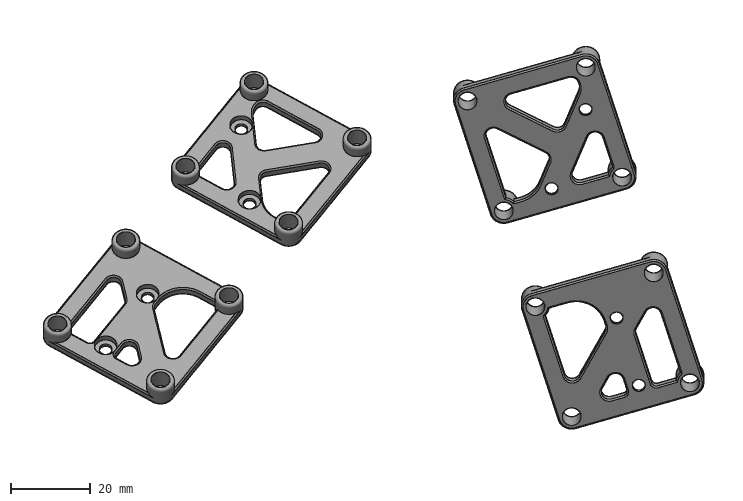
import cadquery as cq
import math

plate_size = 38.0
plate_height = 2.7
post_diameter = 7.0
post_bore = 4.7
post_height = 6.0
post_round = 0.75
edge_chamfer = 0.4
side_length = plate_size - post_diameter
post_offset = side_length / 2

overall_length = 96.0
plate_offset = (overall_length - plate_size) / 2

screw_hole = 3.2
screw_head = 5.7
screw_seat_height = 1.0

frame_width = 5.0
window_half = plate_size / 2 - frame_width
rib_half_width = 3.25
post_side_offset = 12.5

corner_radius = 2.0
tight_radius = 1.2
post_side_radius = 4.0
wide_radius = 7.3

slanted_screws = [(-12.1, 4.6), (2.3, -13.3)]
upright_screw_x = -3.05
upright_screws = [(upright_screw_x, -12.4), (upright_screw_x, 6.6)]


def line(direction, distance):
    """A straight wall: the angle of its normal in degrees, and its distance from the plate centre."""
    angle = math.radians(direction)
    return math.cos(angle), math.sin(angle), distance


def crossing(first, second):
    """The point where two straight walls meet."""
    a1, b1, d1 = first
    a2, b2, d2 = second
    determinant = a1 * b2 - a2 * b1
    return cq.Vector((d1 * b2 - d2 * b1) / determinant, (a1 * d2 - a2 * d1) / determinant)


def window(walls):
    """A through cutter; each wall is paired with the corner radius where it meets the next wall."""
    count = len(walls)
    corners = [crossing(walls[i][0], walls[(i + 1) % count][0]) for i in range(count)]
    arcs = []
    for i, corner in enumerate(corners):
        radius = walls[i][1]
        back = (corners[i - 1] - corner).normalized()
        ahead = (corners[(i + 1) % count] - corner).normalized()
        half_angle = back.getAngle(ahead) / 2
        setback = radius / math.tan(half_angle)
        depth = radius / math.sin(half_angle) - radius
        middle = corner + (back + ahead).normalized() * depth
        arcs.append((corner + back * setback, middle, corner + ahead * setback))

    outline = cq.Workplane("XY").moveTo(*arcs[-1][2].toTuple()[:2])
    for start, middle, end in arcs:
        outline = outline.lineTo(start.x, start.y)
        outline = outline.threePointArc((middle.x, middle.y), (end.x, end.y))
    return outline.close().extrude(plate_height)


frame_right = line(0, window_half)
frame_top = line(90, window_half)
frame_left = line(180, window_half)
frame_bottom = line(270, window_half)


def mounting_plate(windows, screws):
    """One plate, with its windows, corner posts and counterbored screw holes."""
    plate = (
        cq.Workplane("XY")
        .rect(plate_size, side_length)
        .extrude(plate_height)
        .union(cq.Workplane("XY").rect(side_length, plate_size).extrude(plate_height))
    )
    outer_sides = "<X or >X or <Y or >Y"
    plate = plate.faces("<Z").edges(outer_sides).chamfer(edge_chamfer)
    plate = plate.faces(">Z").edges(outer_sides).chamfer(edge_chamfer)

    for opening in windows:
        plate = plate.cut(opening)
    for face in ("<Z", ">Z"):
        window_rims = [edge for rim in plate.faces(face).val().innerWires() for edge in rim.Edges()]
        plate = plate.newObject(window_rims).chamfer(edge_chamfer)

    post_centres = [(x, y) for x in (-post_offset, post_offset) for y in (-post_offset, post_offset)]
    post = (
        cq.Workplane("XY")
        .circle(post_diameter / 2)
        .extrude(post_height)
        .faces("<Z")
        .chamfer(edge_chamfer)
        .faces(">Z")
        .fillet(post_round)
    )
    bore = cq.Workplane("XY").circle(post_bore / 2).extrude(post_height)
    for x, y in post_centres:
        plate = plate.union(post.translate((x, y, 0)))
        plate = plate.cut(bore.translate((x, y, 0)))

    hole = cq.Workplane("XY").circle(screw_hole / 2).extrude(plate_height)
    head = (
        cq.Workplane("XY")
        .workplane(offset=screw_seat_height)
        .circle(screw_head / 2)
        .extrude(plate_height - screw_seat_height)
    )
    for x, y in screws:
        plate = plate.cut(hole.translate((x, y, 0)))
        plate = plate.cut(head.translate((x, y, 0)))
    return plate


(first_x, first_y), (second_x, second_y) = slanted_screws
slant_angle = math.atan2(second_x - first_x, first_y - second_y)
slant_distance = first_x * math.cos(slant_angle) + first_y * math.sin(slant_angle)
slant = math.degrees(slant_angle)
slant_upper = line(slant, slant_distance + rib_half_width)
slant_lower = line(slant, slant_distance - rib_half_width)
rising_upper = line(135, rib_half_width)
rising_lower = line(-45, rib_half_width)
post_side = line(180, post_side_offset)

slanted_plate = mounting_plate(
    [
        window([
            (frame_top, corner_radius),
            (post_side, post_side_radius),
            (slant_upper, corner_radius),
            (rising_upper, corner_radius),
        ]),
        window([
            (frame_right, corner_radius),
            (rising_lower, corner_radius),
            (slant_upper, wide_radius),
            (frame_bottom, corner_radius),
        ]),
        window([
            (slant_lower, corner_radius),
            (frame_left, corner_radius),
            (frame_bottom, corner_radius),
        ]),
    ],
    slanted_screws,
)

upright_right = line(0, upright_screw_x + rib_half_width)
upright_left = line(0, upright_screw_x - rib_half_width)
falling_upper = line(45, rib_half_width)
falling_lower = line(45, -rib_half_width)

upright_plate = mounting_plate(
    [
        window([
            (frame_right, corner_radius),
            (frame_top, wide_radius),
            (upright_right, corner_radius),
            (falling_upper, corner_radius),
        ]),
        window([
            (upright_left, corner_radius),
            (falling_lower, corner_radius),
            (frame_left, corner_radius),
            (frame_bottom, tight_radius),
        ]),
        window([
            (falling_lower, corner_radius),
            (upright_right, tight_radius),
            (frame_bottom, corner_radius),
        ]),
    ],
    upright_screws,
)

result = cq.Compound.makeCompound([
    slanted_plate.translate((0, plate_offset, 0)).val(),
    upright_plate.translate((0, -plate_offset, 0)).val(),
])